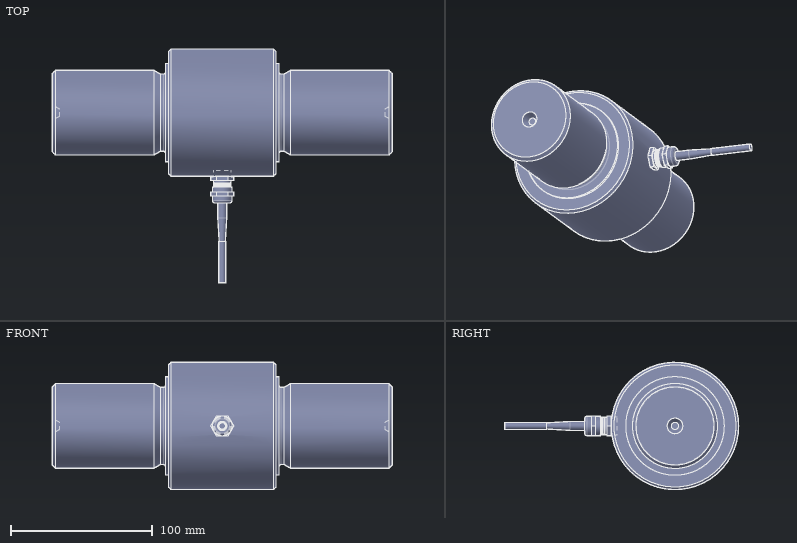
import cadquery as cq
import math

pin_length = 240.0
shaft_d = 60.0
shaft_chamfer = 2.5
groove_d = 54.7
groove_start = 48.2
groove_cone_angle = 30.0
groove_fillet = 1.5
collar_d = 69.5
collar_width = 80.2
housing_d = 90.0
housing_width = 76.0
housing_chamfer = 2.0

centre_mouth_d = 11.0
centre_floor_d = 5.0
centre_depth = 5.3

stub_start = 40.8
base_hex_start = 45.0
hex_flats = 14.2
base_hex_end = 48.0
neck_d = 12.5
neck_end = 49.5
thread_root_d = 11.3
thread_ridges = 2
thread_end = 52.5
nut_d = 14.0
nut_end = 63.8
nut_fillet = 2.0
nut_hex_start = 56.0
nut_hex_end = 58.8
boot_d = 6.5
boot_taper_start = 74.2
boot_end = 90.7
boot_end_d = 4.5

cable_d = 5.0
overall_y = 165.0
cable_end = overall_y - housing_d / 2


def hexagon(start, end):
    """Hexagonal prism along -Y with two corners on the X direction."""
    corner_d = hex_flats / math.cos(math.radians(30))
    return cq.Workplane("XZ", origin=(0, -start, 0)).polygon(6, corner_d).extrude(end - start)


def disc(diameter, start, end):
    """Cylinder along -Y between two distances from the pin axis."""
    return cq.Workplane("XZ", origin=(0, -start, 0)).circle(diameter / 2).extrude(end - start)


def make_journal():
    """Shaft end on the +X side, with its collar, relief groove and centre hole."""
    half_length = pin_length / 2
    half_collar = collar_width / 2
    shaft_r = shaft_d / 2
    groove_r = groove_d / 2
    cone_end = groove_start - (shaft_r - groove_r) / math.tan(math.radians(groove_cone_angle))
    fillet_mid = groove_fillet * (1 - math.sqrt(0.5))
    return (
        cq.Workplane("XY")
        .lineTo(0, collar_d / 2)
        .lineTo(half_collar, collar_d / 2)
        .lineTo(half_collar, groove_r + groove_fillet)
        .threePointArc(
            (half_collar + fillet_mid, groove_r + fillet_mid),
            (half_collar + groove_fillet, groove_r),
        )
        .lineTo(cone_end, groove_r)
        .lineTo(groove_start, shaft_r)
        .lineTo(half_length - shaft_chamfer, shaft_r)
        .lineTo(half_length, shaft_r - shaft_chamfer)
        .lineTo(half_length, centre_mouth_d / 2)
        .lineTo(half_length - centre_depth, centre_floor_d / 2)
        .lineTo(half_length - centre_depth, 0)
        .close()
        .revolve(360, (0, 0, 0), (1, 0, 0))
    )


def make_pin():
    """Whole pin: chamfered housing, two journals and the hole for the gland."""
    housing = (
        cq.Workplane("YZ", origin=(-housing_width / 2, 0, 0))
        .circle(housing_d / 2)
        .extrude(housing_width)
        .edges()
        .chamfer(housing_chamfer)
    )
    journal = make_journal()
    gland_hole = disc(neck_d, stub_start, base_hex_start)
    return housing.union(journal).union(journal.mirror("YZ")).cut(gland_hole)


def make_thread():
    """Threaded neck: a core carrying evenly spaced ridges, the last one under the nut."""
    thread = disc(thread_root_d, neck_end, thread_end)
    ridge_pitch = (thread_end - neck_end) / thread_ridges
    for index in range(thread_ridges):
        ridge_end = neck_end + (index + 1) * ridge_pitch
        thread = thread.union(disc(neck_d, ridge_end - ridge_pitch / 2, ridge_end))
    return thread


def make_gland():
    """Gland with hexagonal base, nut and tapered boot for the cable."""
    nut = disc(nut_d, thread_end, nut_end).faces("<Y").edges().fillet(nut_fillet)
    taper = (
        cq.Workplane("XZ", origin=(0, -boot_taper_start, 0))
        .circle(boot_d / 2)
        .workplane(offset=boot_end - boot_taper_start)
        .circle(boot_end_d / 2)
        .loft()
    )
    return (
        disc(neck_d, stub_start, neck_end)
        .union(hexagon(base_hex_start, base_hex_end))
        .union(make_thread())
        .union(nut)
        .union(hexagon(nut_hex_start, nut_hex_end))
        .union(disc(boot_d, nut_end, boot_taper_start))
        .union(taper)
    )


def make_cable():
    """Free length of cable beyond the boot."""
    return disc(cable_d, boot_end, cable_end)


pin = make_pin()
gland = make_gland()
cable = make_cable()

result = cq.Compound.makeCompound([pin.val(), gland.val(), cable.val()])